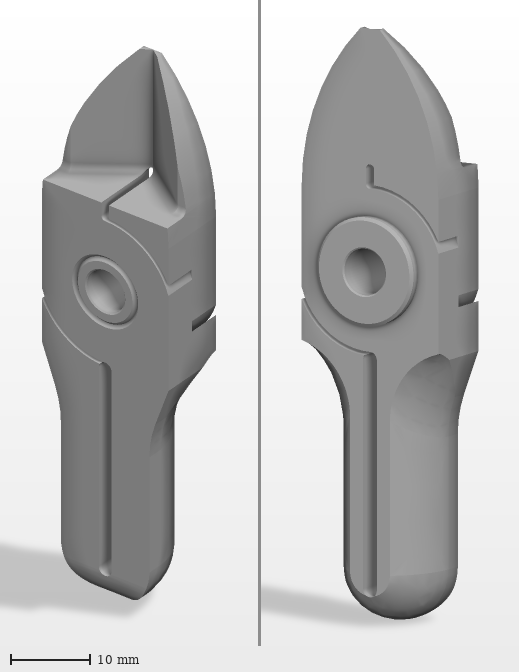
import cadquery as cq
import math


TOTAL_LENGTH = 77.0
JAW_TIP_Z = 31.0
END_TRIM = 0.02
HANDLE_END_Z = JAW_TIP_Z - TOTAL_LENGTH - END_TRIM
BODY_HALF_WIDTH = 10.0
THICKNESS = 10.0
FRONT_Y = -THICKNESS / 2
BACK_Y = THICKNESS / 2
MARGIN = 0.8

JAW_CURVE_START_Z = 10.0
JAW_CURVE_RADIUS = 30.0
STEP_Z = 13.0
BLADE_THICKNESS = 6.0
BEVEL_HALF_WIDTH = 8.5
STEP_FILLET = 1.0

HUB_RADIUS = 10.5
HUB_CLEARANCE_RADIUS = 11.0
JAW_SLOT_HALF_WIDTH = 0.6
HANDLE_SLOT_HALF_WIDTH = 1.0
HANDLE_SLOT_END_Z = -42.05

SHOULDER_Z = -11.0
NECK_ANGLE = 20.0
NECK_RADIUS = 15.0
HANDLE_HALF_WIDTH = 7.0
HANDLE_ROUND_Z = HANDLE_END_Z + HANDLE_HALF_WIDTH
NECK_RUN = BODY_HALF_WIDTH - HANDLE_HALF_WIDTH
NECK_CORNER_Z = SHOULDER_Z - NECK_RUN / math.tan(math.radians(NECK_ANGLE))
NECK_ARC_START_Z = NECK_CORNER_Z - NECK_RADIUS * math.tan(math.radians(NECK_ANGLE / 2))

END_ROUND_RADIUS = 5.0
END_ROUND_Z = -41.5
BACK_ROUND_RADIUS = 10.0
BACK_ROUND_START_Y = -3.1
BACK_ROUND_OFFSET = 0.011
BACK_ROUND_SECTIONS = 5
NECK_RADIUS_LOSS = 1.3
NECK_ARC_RISE = 0.67

RIVET_RADIUS = 4.8
RIVET_CHAMFER = 0.5
RIVET_BORE_RADIUS = 3.0
RIVET_BORE_CHAMFER = 0.19
RIVET_HEAD_RADIUS = 7.0
RIVET_HEAD_HEIGHT = 1.5
RIVET_HEAD_CHAMFER = 0.4


def cylinder(radius, y_start, y_end):
    """Solid cylinder around the rivet axis."""
    return cq.Workplane("XZ", origin=(0, y_end, 0)).circle(radius).extrude(y_end - y_start)


def height_band(z_bottom, z_top):
    """Full-width, full-thickness block between two heights."""
    height = z_top - z_bottom
    return (
        cq.Workplane("XY", origin=(0, 0, z_bottom))
        .rect(2 * BODY_HALF_WIDTH, THICKNESS)
        .extrude(height)
    )


def slot(half_width, z_bottom, z_top):
    """Round-ended slot along Z, through the whole thickness."""
    length = z_top - z_bottom
    return (
        cq.Workplane("XZ", origin=(0, BACK_Y + MARGIN, (z_bottom + z_top) / 2))
        .slot2D(length, 2 * half_width, 90)
        .extrude(THICKNESS + 2 * MARGIN)
    )


def outline_plate():
    """The +X side of the pliers outline through the full thickness."""
    curve_centre_x = BODY_HALF_WIDTH - JAW_CURVE_RADIUS

    def jaw_x(z):
        return curve_centre_x + math.sqrt(JAW_CURVE_RADIUS**2 - (z - JAW_CURVE_START_Z) ** 2)

    mid_z = (JAW_CURVE_START_Z + JAW_TIP_Z) / 2
    tip_x = jaw_x(JAW_TIP_Z)
    angle = math.radians(NECK_ANGLE)

    def neck_point(turn):
        x = HANDLE_HALF_WIDTH + NECK_RADIUS * (1 - math.cos(turn))
        return x, NECK_ARC_START_Z + NECK_RADIUS * math.sin(turn)

    neck_mid, neck_end = neck_point(angle / 2), neck_point(angle)

    return (
        cq.Workplane("XZ", origin=(0, BACK_Y, 0))
        .moveTo(0, JAW_TIP_Z)
        .lineTo(tip_x, JAW_TIP_Z)
        .threePointArc((jaw_x(mid_z), mid_z), (BODY_HALF_WIDTH, JAW_CURVE_START_Z))
        .lineTo(BODY_HALF_WIDTH, SHOULDER_Z)
        .lineTo(*neck_end)
        .threePointArc(neck_mid, (HANDLE_HALF_WIDTH, NECK_ARC_START_Z))
        .lineTo(HANDLE_HALF_WIDTH, HANDLE_ROUND_Z)
        .radiusArc((0, HANDLE_END_Z), HANDLE_HALF_WIDTH)
        .close()
        .extrude(THICKNESS)
    )


def jaw_relief():
    """Space in front of the two blades: a ridge-shaped prism with rounded lower edges."""
    side_x = BODY_HALF_WIDTH + MARGIN + STEP_FILLET
    front_y = FRONT_Y - MARGIN - STEP_FILLET
    flat_y = BACK_Y - BLADE_THICKNESS
    prism = (
        cq.Workplane("XY", origin=(0, 0, STEP_Z))
        .polyline([
            (0, BACK_Y),
            (BEVEL_HALF_WIDTH, flat_y),
            (side_x, flat_y),
            (side_x, front_y),
            (-side_x, front_y),
            (-side_x, flat_y),
            (-BEVEL_HALF_WIDTH, flat_y),
        ])
        .close()
        .extrude(JAW_TIP_Z - STEP_Z + MARGIN)
    )
    blade_edges = prism.faces("<Z").edges("(not <Y) and (not |Y)")
    return blade_edges.fillet(STEP_FILLET)


def end_round():
    """Material outside the rounded front of the handle end."""
    centre_y = FRONT_Y + END_ROUND_RADIUS
    low_z = END_ROUND_Z - END_ROUND_RADIUS
    return (
        cq.Workplane("YZ", origin=(-BODY_HALF_WIDTH, 0, 0))
        .moveTo(FRONT_Y, END_ROUND_Z)
        .radiusArc((centre_y, low_z), -END_ROUND_RADIUS)
        .lineTo(FRONT_Y - MARGIN, low_z)
        .lineTo(FRONT_Y - MARGIN, END_ROUND_Z)
        .close()
        .extrude(2 * BODY_HALF_WIDTH)
    )


def back_round():
    """Material outside the rounded back edge of the handle on the +X side."""
    outer_x = BODY_HALF_WIDTH + MARGIN
    low_z = HANDLE_END_Z - MARGIN
    depth_end = BACK_Y + MARGIN / 2 - BACK_ROUND_START_Y
    wires = []
    for i in range(BACK_ROUND_SECTIONS):
        depth = depth_end * i / (BACK_ROUND_SECTIONS - 1)
        inset = BACK_ROUND_RADIUS - math.sqrt(BACK_ROUND_RADIUS**2 - depth**2) - BACK_ROUND_OFFSET
        inner_x = HANDLE_HALF_WIDTH - inset
        radius = NECK_RADIUS - NECK_RADIUS_LOSS * inset
        arc_z = NECK_ARC_START_Z + NECK_ARC_RISE * inset
        turn = math.acos(1 - (outer_x - inner_x) / radius)
        mid = (inner_x + radius * (1 - math.cos(turn / 2)), arc_z + radius * math.sin(turn / 2))
        section = (
            cq.Workplane("XZ", origin=(0, BACK_ROUND_START_Y + depth, 0))
            .moveTo(0, HANDLE_ROUND_Z - inner_x)
            .radiusArc((inner_x, HANDLE_ROUND_Z), -inner_x)
            .lineTo(inner_x, arc_z)
            .threePointArc(mid, (outer_x, arc_z + radius * math.sin(turn)))
            .lineTo(outer_x, low_z)
            .lineTo(0, low_z)
            .close()
        )
        wires.append(section.val())
    return cq.Workplane(cq.Solid.makeLoft(wires))


def rivet_hole():
    """Rivet hole, countersunk at the front face."""
    edge_radius = RIVET_RADIUS + RIVET_CHAMFER
    countersink = cq.Workplane(
        cq.Solid.makeCone(
            edge_radius, RIVET_RADIUS, RIVET_CHAMFER, cq.Vector(0, FRONT_Y, 0), cq.Vector(0, 1, 0)
        )
    )
    return cylinder(RIVET_RADIUS, FRONT_Y, BACK_Y).union(countersink)


def shaped_side():
    """The +X side of the pliers, with jaw and handle finished but no lap joint."""
    return (
        outline_plate()
        .cut(jaw_relief())
        .cut(end_round())
        .cut(back_round())
        .cut(slot(JAW_SLOT_HALF_WIDTH, HUB_RADIUS, STEP_Z + JAW_SLOT_HALF_WIDTH))
        .cut(slot(HANDLE_SLOT_HALF_WIDTH, HANDLE_SLOT_END_Z, -HUB_RADIUS))
    )


def plier_half(jaw_on_right, hub_layer, other_layer):
    """One half: a jaw on one side and a handle on the other, joined by a hub in hub_layer."""
    right = shaped_side()
    left = right.mirror("YZ")
    jaw_side, handle_side = (right, left) if jaw_on_right else (left, right)
    jaw = jaw_side.intersect(height_band(0, JAW_TIP_Z + MARGIN))
    handle = handle_side.intersect(height_band(HANDLE_END_Z - MARGIN, 0))
    hub = cylinder(HUB_RADIUS, *hub_layer).intersect(height_band(-HUB_RADIUS, HUB_RADIUS))
    return (
        jaw.union(handle)
        .cut(cylinder(HUB_CLEARANCE_RADIUS, *other_layer))
        .union(hub)
        .cut(rivet_hole())
    )


def make_rivet():
    """Hollow rivet with its head on the back face."""
    head_y = BACK_Y + RIVET_HEAD_HEIGHT
    profile = [
        (RIVET_BORE_RADIUS + RIVET_BORE_CHAMFER, FRONT_Y),
        (RIVET_RADIUS - RIVET_CHAMFER, FRONT_Y),
        (RIVET_RADIUS, FRONT_Y + RIVET_CHAMFER),
        (RIVET_RADIUS, BACK_Y),
        (RIVET_HEAD_RADIUS, BACK_Y),
        (RIVET_HEAD_RADIUS, head_y - RIVET_HEAD_CHAMFER),
        (RIVET_HEAD_RADIUS - RIVET_HEAD_CHAMFER, head_y),
        (RIVET_BORE_RADIUS + RIVET_BORE_CHAMFER, head_y),
        (RIVET_BORE_RADIUS, head_y - RIVET_BORE_CHAMFER),
        (RIVET_BORE_RADIUS, FRONT_Y + RIVET_BORE_CHAMFER),
    ]
    half_section = cq.Workplane("XY").polyline(profile).close()
    return half_section.revolve(360, (0, 0, 0), (0, 1, 0))


FRONT_LAYER = (FRONT_Y, 0)
BACK_LAYER = (0, BACK_Y)

left_jaw_half = plier_half(False, FRONT_LAYER, BACK_LAYER).solids()
right_jaw_half = plier_half(True, BACK_LAYER, FRONT_LAYER).solids()
rivet = make_rivet()

result = cq.Compound.makeCompound([left_jaw_half.val(), right_jaw_half.val(), rivet.val()])